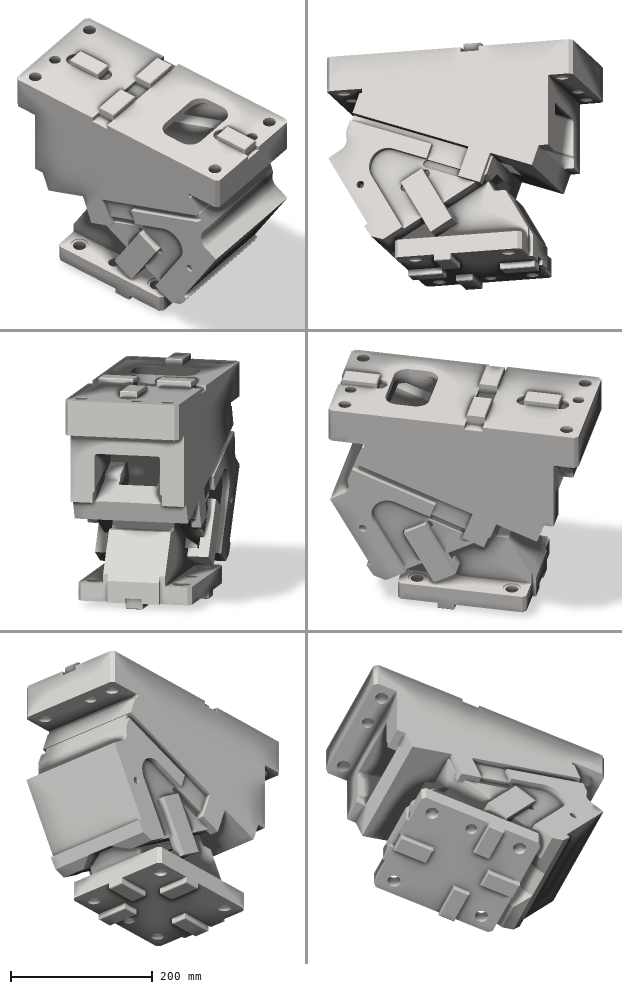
import cadquery as cq
import math

LENGTH = 360.0
WIDTH = 165.0
HEIGHT = 318.0
HALF_WIDTH = WIDTH / 2
CORNER_CHAMFER = 5.0

KEY_LENGTH = 50.0
KEY_WIDTH = 24.5
KEY_RISE = 9.0
KEY_SEAT = 7.0
KEY_CHAMFER = 1.0

RAIL_ANGLE = math.radians(20)
RAIL_ORIGIN = (-131.5, 157.5)
RAMP_ANGLE = math.radians(-30)
RAMP_ORIGIN = (-47.0, 120.0)

PLATE_THICKNESS = 50.0
PLATE_TOP = HEIGHT - KEY_RISE
PLATE_BOTTOM = PLATE_TOP - PLATE_THICKNESS
BODY_INSET = 35.0
BODY_LEFT = BODY_INSET - LENGTH / 2
BODY_RIGHT = 127.8
RAIL_END = 279.5
RAIL_THICKNESS = 30.0
LEG_START = 65.0
LEG_END = 98.5
LEG_BOTTOM = -74.0
LIP_TOP = -63.0
LEG_INNER = 75.0
LIP_INNER = 68.5
CAVITY_HALF_WIDTH = 47.5
CAVITY_HEIGHT = 71.0
CAVITY_MOUTH = -28.8
CAVITY_END = 273.0
CAVITY_FILLET = 19.5
MOUTH_FILLET = 4.0
FLOOR_HALF_WIDTH = 50.5
FLOOR_WALL = 17.5
RAIL_RISE = 7.0
RAIL_RAMP = (60.0, 65.0)
SLOT_START = 48.5
SLOT_HALF_WIDTH = 28.0
WINDOW_LENGTH = 63.0
WINDOW_CENTRE = 76.5
BOLT_X = 160.0
BOLT_Y = 62.5
BOLT_DIAMETER = 18.5
DOWEL_DIAMETER = 16.5
DOWELS = [(-BOLT_X, -17.3), (BOLT_X, 22.5)]
CROSS_SEAT_X = -30.0
CROSS_SEAT_WIDTH = 26.3
CROSS_KEY_INSET = 15.0
LEFT_KEY_X = -112.5
RIGHT_KEY_X = 149.5
SEAT_END_GAP = 12.5

SLIDE_START = 62.3
SLIDE_TOP = -31.5
SLIDE_NOTCH = -59.0
NOTCH_ARC = ((150.0, 184.5), (153.0, 176.8), (159.5, 171.7))
FACE_POSITION = 173.5
FACE_TOP, FACE_BOTTOM = 147.5, 32.5
TOE_STEP = 6.0
TOE_CORNER = (178.5, 14.0)
TOE_START = 166.5
GROOVE_START, GROOVE_END = -14.5, 187.2
SHOULDER = -41.0
GUIDE_RECESS_END = 152.3
HUMP_START = 99.5
HUMP_END = 266.5
HUMP_TOP = 46.0
HUMP_TAPER_WIDTH = 4.0
HUMP_TAPER_HEIGHT = 26.0
HUMP_END_CHAMFER = 13.5
NECK_HALF_WIDTH = 25.5
TROUGH_RADIUS = 23.5
TROUGH_AXIS = 31.5
TROUGH_END_WALL = 21.5
TROUGH_START = HUMP_START + TROUGH_END_WALL
POCKET_DEPTH = 10.0
POCKET_FILLET = 26.0
POCKET_RIGHT = 134.0
HOOK_LEFT = 67.5
HOOK_RIGHT = 103.0
HOOK_TOP = 57.5
HOOK_BOTTOM = -30.0
HOOK_ARM = 15.5
HOOK_REACH = 31.0
HOOK_LIP = 12.5
RELIEF_RADIUS = 6.0
PIN_DIAMETER = 10.8
PIN_DEPTH = 15.0
PIN_TIP = 3.2
PIN_X, PIN_Z = 130.0, 119.0

BASE_TOP = 34.5
BASE_LEFT = -105.0
BASE_LENGTH = 185.5
BASE_RIGHT = BASE_LEFT + BASE_LENGTH
POST_HALF_WIDTH = 45.0
POST_INSET = 2.5
POST_RIGHT = BASE_RIGHT - POST_INSET
NOSE_LEFT = -110.0
NOSE_TOP = 40.0
NOSE_HALF_WIDTH = 37.5
STEP_Z = 106.2
STEP_START = -72.0
RAMP_LENGTH = 149.8
RIDGE_SLOPE = math.tan(math.radians(30))
RIDGE_FLAT = 20.0
LUG_LEFT = 74.0
LUG_HALF_WIDTH = 62.5
LUG_DEPTH = 15.0
CROSS_KEY_X = 10.0
BASE_BOLTS_X = (-81.0, 55.5)
BASE_BOLT_Y = BOLT_Y
COUNTERBORE_DIAMETER = 26.0
COUNTERBORE_DEPTH = 1.5
BASE_DOWEL = (-19.8, -BOLT_Y)


def frame(origin, angle):
    """XZ frame whose first axis is tilted by angle; its normal points to -Y."""
    direction = (math.cos(angle), 0, math.sin(angle))
    return cq.Plane(origin=(origin[0], 0, origin[1]), xDir=direction, normal=(0, -1, 0))


UPRIGHT = frame((0, 0), 0)
RAIL = frame(RAIL_ORIGIN, RAIL_ANGLE)
RAMP = frame(RAMP_ORIGIN, RAMP_ANGLE)


def upright_point(plane, along, across):
    """X and Z of a point given in an inclined frame."""
    point = plane.toWorldCoords((along, across))
    return (point.x, point.z)


def cross_section(plane, along):
    """Plane across an inclined frame: its first axis is Y, its second the frame's own height."""
    return cq.Plane(origin=plane.toWorldCoords((along, 0)), xDir=(0, 1, 0), normal=plane.xDir)


def prism(plane, outline, half_width):
    """Solid with the given side outline, symmetric about Y = 0."""
    return cq.Workplane(plane).polyline(outline).close().extrude(half_width, both=True)


def bar(plane, left, right, bottom, top, half_width):
    """Rectangular prism, symmetric about Y = 0."""
    return prism(plane, [(left, bottom), (right, bottom), (right, top), (left, top)], half_width)


def flanks(plane, left, right, bottom, top, inner, outer=HALF_WIDTH):
    """The pair of rectangular prisms that lie between two distances from Y = 0."""
    return bar(plane, left, right, bottom, top, outer).cut(bar(plane, left, right, bottom, top, inner))


def mounting_plate(left, length, bottom, thickness):
    plate = cq.Workplane("XY").box(length, WIDTH, thickness, centered=(False, True, False))
    return plate.edges("|Z").chamfer(CORNER_CHAMFER).translate((left, 0, bottom))


def key(centre, size_x, size_y, bottom, top, outer_face):
    """Key block with its outer edges chamfered."""
    block = cq.Workplane("XY").box(size_x, size_y, top - bottom, centered=(True, True, False))
    return block.faces(outer_face).chamfer(KEY_CHAMFER).translate((centre[0], centre[1], bottom))


def vertical_holes(points, diameter, bottom, top):
    return (
        cq.Workplane("XY", origin=(0, 0, bottom))
        .pushPoints(points)
        .circle(diameter / 2)
        .extrude(top - bottom)
    )


def holder_cavity():
    """Inclined pocket from the left, with a wider floor and raised rails beside a slot."""
    main = bar(RAIL, CAVITY_MOUTH, CAVITY_END, 0, CAVITY_HEIGHT, CAVITY_HALF_WIDTH)
    upright_edges = cq.selectors.ParallelDirSelector(RAIL.yDir)
    main = main.edges(upright_edges).edges(">X").fillet(CAVITY_FILLET)
    ceiling = main.faces(cq.selectors.DirectionMinMaxSelector(RAIL.yDir))
    main = ceiling.edges(cq.selectors.ParallelDirSelector(RAIL.xDir)).fillet(MOUTH_FILLET)
    bevel_top = FLOOR_WALL + FLOOR_HALF_WIDTH - CAVITY_HALF_WIDTH
    floor = (
        cq.Workplane(cross_section(RAIL, CAVITY_MOUTH))
        .polyline([
            (-FLOOR_HALF_WIDTH, 0),
            (FLOOR_HALF_WIDTH, 0),
            (FLOOR_HALF_WIDTH, FLOOR_WALL),
            (CAVITY_HALF_WIDTH, bevel_top),
            (-CAVITY_HALF_WIDTH, bevel_top),
            (-FLOOR_HALF_WIDTH, FLOOR_WALL),
        ])
        .close()
        .extrude(HUMP_START - CAVITY_MOUTH)
    )
    rail_tops = prism(
        RAIL,
        [(RAIL_RAMP[0], 0), (RAIL_RAMP[1], RAIL_RISE), (CAVITY_END, RAIL_RISE), (CAVITY_END, 0)],
        HALF_WIDTH,
    )
    slot = bar(RAIL, SLOT_START, CAVITY_END, -RAIL_THICKNESS, RAIL_RISE, SLOT_HALF_WIDTH)
    return main.union(floor).cut(rail_tops).union(slot)


def window():
    """Rounded opening through the top plate into the cavity."""
    return (
        cq.Workplane("XY", origin=(WINDOW_CENTRE, 0, PLATE_BOTTOM))
        .rect(WINDOW_LENGTH, 2 * CAVITY_HALF_WIDTH)
        .extrude(PLATE_THICKNESS)
        .edges("|Z")
        .fillet(CAVITY_FILLET)
    )


def top_key_seats():
    """Two round-ended seats along X and one seat across the plate."""
    seat_bottom = PLATE_TOP - KEY_SEAT
    seat_length = KEY_LENGTH + 2 * SEAT_END_GAP
    seats = (
        cq.Workplane("XY", origin=(0, 0, seat_bottom))
        .pushPoints([(LEFT_KEY_X, 0), (RIGHT_KEY_X, 0)])
        .slot2D(seat_length, KEY_WIDTH)
        .extrude(KEY_SEAT)
    )
    open_end = bar(UPRIGHT, RIGHT_KEY_X, LENGTH / 2, seat_bottom, PLATE_TOP, KEY_WIDTH / 2)
    cross = cq.Workplane("XY").box(CROSS_SEAT_WIDTH, WIDTH, KEY_SEAT, centered=(True, True, False))
    return seats.union(open_end).union(cross.translate((CROSS_SEAT_X, 0, seat_bottom)))


def make_holder():
    relief_z = upright_point(RAIL, RAIL_END, 0)[1]
    body = prism(
        UPRIGHT,
        [
            (BODY_LEFT, PLATE_BOTTOM),
            (BODY_LEFT, RAIL_ORIGIN[1]),
            RAIL_ORIGIN,
            upright_point(RAIL, 0, -RAIL_THICKNESS),
            upright_point(RAIL, LEG_START, -RAIL_THICKNESS),
            upright_point(RAIL, RAIL_END, -RAIL_THICKNESS),
            upright_point(RAIL, RAIL_END, 0),
            (BODY_RIGHT, relief_z),
            (BODY_RIGHT, PLATE_BOTTOM),
        ],
        HALF_WIDTH,
    )
    holder = mounting_plate(-LENGTH / 2, LENGTH, PLATE_BOTTOM, PLATE_THICKNESS).union(body)
    holder = holder.union(flanks(RAIL, LEG_START, LEG_END, LEG_BOTTOM, -RAIL_THICKNESS, LEG_INNER))
    holder = holder.union(flanks(RAIL, LEG_START, LEG_END, LEG_BOTTOM, LIP_TOP, LIP_INNER))
    holder = holder.cut(holder_cavity()).cut(window()).cut(top_key_seats())

    bolts = [(x, y) for x in (-BOLT_X, BOLT_X) for y in (-BOLT_Y, BOLT_Y)]
    holder = holder.cut(vertical_holes(bolts, BOLT_DIAMETER, PLATE_BOTTOM, PLATE_TOP))
    holder = holder.cut(vertical_holes(DOWELS, DOWEL_DIAMETER, PLATE_BOTTOM, PLATE_TOP))

    seat_bottom = PLATE_TOP - KEY_SEAT
    for key_x in (LEFT_KEY_X, RIGHT_KEY_X):
        holder = holder.union(key((key_x, 0), KEY_LENGTH, KEY_WIDTH, seat_bottom, HEIGHT, ">Z"))
    cross_key_y = HALF_WIDTH - CROSS_KEY_INSET - KEY_LENGTH / 2
    for key_y in (-cross_key_y, cross_key_y):
        holder = holder.union(
            key((CROSS_SEAT_X, key_y), CROSS_SEAT_WIDTH, KEY_LENGTH, seat_bottom, HEIGHT, ">Z")
        )
    return holder


def ridge(start, end):
    """Roof-shaped guide along the ramp, with a flat top."""
    rise = (POST_HALF_WIDTH - RIDGE_FLAT) * RIDGE_SLOPE
    drop = (LUG_HALF_WIDTH - POST_HALF_WIDTH) * RIDGE_SLOPE
    return (
        cq.Workplane(cross_section(RAMP, start))
        .polyline([
            (-LUG_HALF_WIDTH, -LUG_DEPTH),
            (LUG_HALF_WIDTH, -LUG_DEPTH),
            (LUG_HALF_WIDTH, -drop),
            (RIDGE_FLAT, rise),
            (-RIDGE_FLAT, rise),
            (-LUG_HALF_WIDTH, -drop),
        ])
        .close()
        .extrude(end - start)
    )


def base_key_seats():
    """Seats for the two keys along X, open at both ends of the base."""
    seats = bar(UPRIGHT, NOSE_LEFT, BASE_LEFT + KEY_LENGTH, KEY_RISE, KEY_RISE + KEY_SEAT, KEY_WIDTH / 2)
    return seats.union(
        bar(UPRIGHT, BASE_RIGHT - KEY_LENGTH, BASE_RIGHT, KEY_RISE, KEY_RISE + KEY_SEAT, KEY_WIDTH / 2)
    )


def make_driver():
    step_end = RAMP_ORIGIN[0] + (RAMP_ORIGIN[1] - STEP_Z) * math.tan(RAMP_ANGLE)
    post = prism(
        UPRIGHT,
        [
            (NOSE_LEFT, KEY_RISE),
            (NOSE_LEFT, NOSE_TOP),
            (STEP_START, STEP_Z),
            (step_end, STEP_Z),
            RAMP_ORIGIN,
            upright_point(RAMP, RAMP_LENGTH, 0),
            (POST_RIGHT, BASE_TOP),
            (POST_RIGHT, KEY_RISE),
        ],
        POST_HALF_WIDTH,
    )
    post = post.cut(flanks(UPRIGHT, NOSE_LEFT, BASE_LEFT, KEY_RISE, STEP_Z, NOSE_HALF_WIDTH))
    driver = mounting_plate(BASE_LEFT, BASE_LENGTH, KEY_RISE, BASE_TOP - KEY_RISE).union(post)

    roof = ridge(0, RAMP_LENGTH)
    driver = driver.union(roof.intersect(bar(RAMP, 0, RAMP_LENGTH, -LUG_DEPTH, HOOK_TOP, POST_HALF_WIDTH)))
    driver = driver.union(
        roof.intersect(bar(RAMP, LUG_LEFT, HOOK_RIGHT, -LUG_DEPTH, HOOK_TOP, LUG_HALF_WIDTH))
    )

    bolts = [(x, y) for x in BASE_BOLTS_X for y in (-BASE_BOLT_Y, BASE_BOLT_Y)]
    driver = driver.cut(vertical_holes(bolts, BOLT_DIAMETER, KEY_RISE, BASE_TOP))
    driver = driver.cut(
        vertical_holes(bolts, COUNTERBORE_DIAMETER, BASE_TOP - COUNTERBORE_DEPTH, BASE_TOP)
    )
    driver = driver.cut(vertical_holes([BASE_DOWEL], DOWEL_DIAMETER, KEY_RISE, BASE_TOP))

    driver = driver.cut(base_key_seats())
    seat_top = KEY_RISE + KEY_SEAT
    for key_x in (BASE_LEFT + KEY_LENGTH / 2, BASE_RIGHT - KEY_LENGTH / 2):
        driver = driver.union(key((key_x, 0), KEY_LENGTH, KEY_WIDTH, 0, seat_top, "<Z"))
    cross_key_y = HALF_WIDTH - KEY_LENGTH / 2
    for key_y in (-cross_key_y, cross_key_y):
        driver = driver.union(key((CROSS_KEY_X, key_y), KEY_WIDTH, KEY_LENGTH, 0, seat_top, "<Z"))
    return driver


def slide_block():
    """Full-width block between the rails and the driver ramp."""
    ramp_in_rail = RAIL.toLocalCoords(RAMP.origin)
    ramp_start = (SLIDE_START - ramp_in_rail.x) / math.cos(RAIL_ANGLE - RAMP_ANGLE)
    return (
        cq.Workplane(UPRIGHT)
        .moveTo(*upright_point(RAIL, SLIDE_START, SLIDE_TOP))
        .lineTo(*upright_point(RAIL, RAIL_END, SLIDE_TOP))
        .lineTo(*upright_point(RAIL, RAIL_END, SLIDE_NOTCH))
        .lineTo(*NOTCH_ARC[0])
        .threePointArc(NOTCH_ARC[1], NOTCH_ARC[2])
        .lineTo(*upright_point(RAMP, FACE_POSITION, FACE_TOP))
        .lineTo(*upright_point(RAMP, FACE_POSITION, FACE_BOTTOM))
        .lineTo(*upright_point(RAMP, FACE_POSITION + TOE_STEP, FACE_BOTTOM))
        .lineTo(*upright_point(RAMP, *TOE_CORNER))
        .lineTo(*upright_point(RAMP, TOE_START, 0))
        .lineTo(*upright_point(RAMP, ramp_start, 0))
        .close()
        .extrude(HALF_WIDTH, both=True)
    )


def guide_recesses():
    """Steps in both flanks that clear the holder rails, legs and lips."""
    steps = flanks(RAIL, SLIDE_START, RAIL_END, SHOULDER, SLIDE_TOP, LEG_INNER)
    steps = steps.union(flanks(RAIL, SLIDE_START, GUIDE_RECESS_END, LIP_TOP, SHOULDER, LEG_INNER))
    slot_radius = (LIP_TOP - LEG_BOTTOM) / 2
    slot_end = (
        cq.Workplane(RAIL)
        .center(GUIDE_RECESS_END, LIP_TOP - slot_radius)
        .circle(slot_radius)
        .extrude(HALF_WIDTH, both=True)
    )
    slot_end = slot_end.cut(bar(RAIL, 0, RAIL_END, LEG_BOTTOM, LIP_TOP, LIP_INNER))
    slot = flanks(RAIL, SLIDE_START, GUIDE_RECESS_END, LEG_BOTTOM, LIP_TOP, LIP_INNER)
    return steps.union(slot).union(slot_end)


def hook_pockets():
    """Pockets in both flanks, open toward the ramp, with one rounded corner."""
    edge_start = RAMP.toLocalCoords(cq.Vector(RAIL.toWorldCoords((SLIDE_START, LIP_TOP))))
    slope = math.tan(RAIL_ANGLE - RAMP_ANGLE)
    corner = edge_start.y + slope * (POCKET_RIGHT - edge_start.x)
    outline = [
        (edge_start.x, edge_start.y),
        (edge_start.x, -POCKET_DEPTH),
        (POCKET_RIGHT, -POCKET_DEPTH),
        (POCKET_RIGHT, corner),
    ]
    through = prism(RAMP, outline, HALF_WIDTH).edges("|Y").edges(">Z").fillet(POCKET_FILLET)
    core = bar(UPRIGHT, -LENGTH, LENGTH, 0, HEIGHT, HALF_WIDTH - POCKET_DEPTH)
    return through.cut(core)


def hooks():
    """Pair of retaining arms whose lips reach under the lugs of the driver."""
    arms = flanks(RAMP, HOOK_LEFT, HOOK_RIGHT, HOOK_BOTTOM, HOOK_TOP, HALF_WIDTH - HOOK_ARM)
    lips = flanks(
        RAMP, HOOK_LEFT, HOOK_RIGHT, HOOK_BOTTOM, HOOK_BOTTOM + HOOK_LIP, HALF_WIDTH - HOOK_REACH
    )
    return arms.union(lips)


def hook_reliefs():
    """Round corner reliefs beside the upper end of each arm."""
    centre_height = HOOK_TOP - RELIEF_RADIUS
    through = (
        cq.Workplane(RAMP)
        .pushPoints([(HOOK_LEFT, centre_height), (HOOK_RIGHT, centre_height)])
        .circle(RELIEF_RADIUS)
        .extrude(HALF_WIDTH, both=True)
    )
    return through.cut(bar(RAMP, 0, RAMP_LENGTH, 0, HOOK_TOP, HALF_WIDTH - HOOK_ARM))


def pin_holes():
    """Blind drilled holes with conical ends, one in each flank."""
    radius = PIN_DIAMETER / 2
    holes = cq.Workplane(UPRIGHT)
    for side in (-1, 1):
        inward = cq.Vector(0, -side, 0)
        mouth = cq.Vector(PIN_X, side * HALF_WIDTH, PIN_Z)
        bottom = mouth + inward * PIN_DEPTH
        drill = cq.Solid.makeCylinder(radius, PIN_DEPTH, mouth, inward)
        tip = cq.Solid.makeCone(radius, 0, PIN_TIP, bottom, inward)
        holes = holes.add(drill.fuse(tip))
    return holes.combine()


def hump_end_outline():
    """Block around the hump with its two right end corners chamfered."""
    block = bar(RAIL, HUMP_START, HUMP_END, RAIL_RISE, HUMP_TOP, CAVITY_HALF_WIDTH)
    right_end = block.faces(cq.selectors.DirectionMinMaxSelector(RAIL.xDir))
    return right_end.edges(cq.selectors.ParallelDirSelector(RAIL.yDir)).chamfer(HUMP_END_CHAMFER)


def hump():
    """Upper part that rides on the rail tops, with a neck below it and a spring trough."""
    taper_start = HUMP_TOP - HUMP_TAPER_HEIGHT
    top_half_width = CAVITY_HALF_WIDTH - HUMP_TAPER_WIDTH
    block = (
        cq.Workplane(cross_section(RAIL, HUMP_START))
        .polyline([
            (-CAVITY_HALF_WIDTH, RAIL_RISE),
            (CAVITY_HALF_WIDTH, RAIL_RISE),
            (CAVITY_HALF_WIDTH, taper_start),
            (top_half_width, HUMP_TOP),
            (-top_half_width, HUMP_TOP),
            (-CAVITY_HALF_WIDTH, taper_start),
        ])
        .close()
        .extrude(HUMP_END - HUMP_START)
    )
    block = block.intersect(hump_end_outline())
    neck = bar(RAIL, HUMP_START, HUMP_END, SLIDE_TOP, RAIL_RISE, NECK_HALF_WIDTH)
    trough = bar(RAIL, TROUGH_START, HUMP_END, TROUGH_AXIS, HUMP_TOP, TROUGH_RADIUS)
    bore = cq.Workplane(cross_section(RAIL, TROUGH_START)).center(0, TROUGH_AXIS).circle(TROUGH_RADIUS)
    bore = bore.extrude(HUMP_END - TROUGH_START)
    return block.union(neck).cut(trough).cut(bore)


def make_slide():
    slide = slide_block().cut(guide_recesses()).cut(hook_pockets()).cut(hook_reliefs())
    slide = slide.cut(pin_holes()).cut(ridge(GROOVE_START, GROOVE_END))
    return slide.union(hooks()).union(hump())


holder = make_holder().solids()
driver = make_driver().solids()
slide = make_slide().solids()

result = cq.Compound.makeCompound([holder.val(), driver.val(), slide.val()])